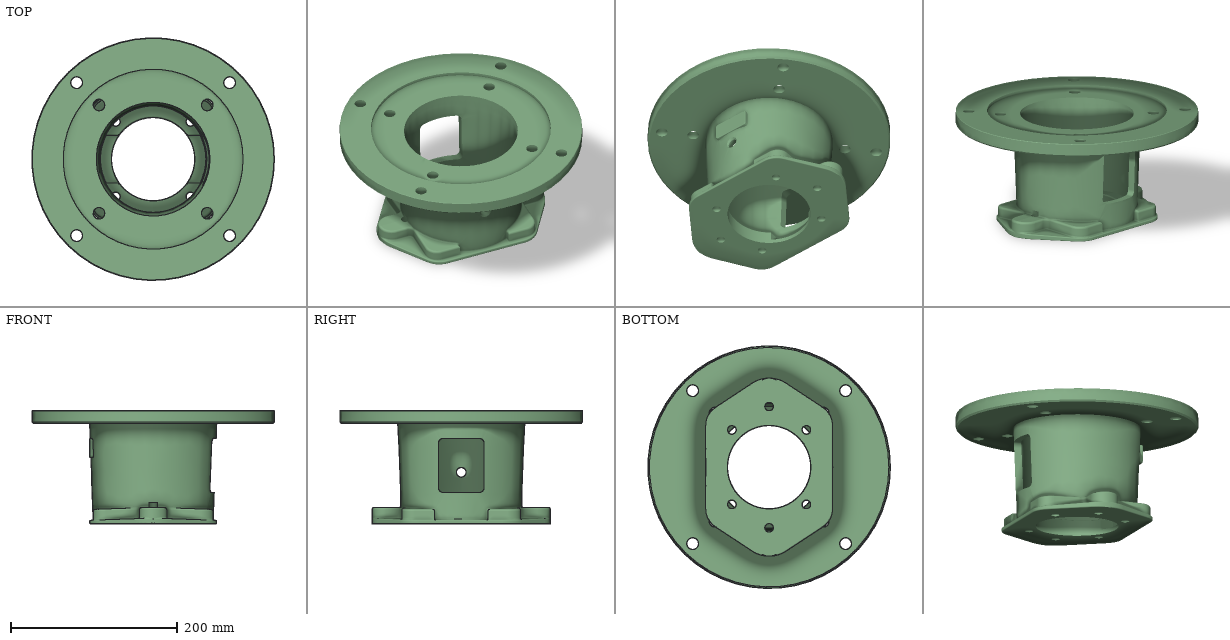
import cadquery as cq
import math

total_height = 136.59
flange_radius = 292.1 / 2
flange_thickness = 16.0
flange_bottom_z = total_height - flange_thickness
flange_bottom_chamfer = 2.0
flange_top_chamfer = 0.6

register_radius = 216.5 / 2
register_depth = 4.0
flange_hole_diameter = 13.8
bolt_circle_radii = (260.35 / 2, 184.15 / 2)

housing_top_radius = 76.6
housing_bottom_radius = 72.2
cavity_top_radius = 68.6
cavity_bottom_radius = 63.2
wall_middle_radius = (housing_bottom_radius + cavity_bottom_radius) / 2

draft_angle = 2.0
plate_half_width = 76.3
plate_half_length = 107.2
plate_ridge_height = 7.0
plate_end_radius = 37.0
plate_corner_radius = 25.8
plate_corner_y = 50.4
plate_edge_fillet = 1.2

pad_ridge_height = 20.0
pad_half_width = 72.0
pad_inner_y = 32.0
pad_outer_y = 71.2
pad_corner_radius = 15.2
lobe_radius = 16.4
lobe_inner_radius = 5.6
pad_top_fillet = 2.5
root_fillet = 1.5

ledge_inner_y = 28.6
ledge_edge_fillet = 1.4

pilot_radius = 50.0
tapped_hole_diameter = 10.2
four_bolt_circle_radius = 127.0 / 2
two_bolt_circle_radius = 146.0 / 2
two_bolt_hole_depth = 26.0

window_bottom_z = 37.8
window_top_z = 103.0
window_half_width = 27.5
window_corner_radius = 6.0

name_plate_face_x = -76.4
name_plate_width = 44.8
name_plate_bottom_z = 79.8
name_plate_top_z = 102.5
name_plate_corner_radius = 3.0
name_plate_edge_fillet = 0.8
port_z = 62.1
port_diameter = 11.4
port_mouth_diameter = 15.3

contact_tolerance = 1e-3


def polar(radius, degrees):
    angle = math.radians(degrees)
    return radius * math.cos(angle), radius * math.sin(angle)


def mirrored(point):
    return -point[0], point[1]


def both_ends(body):
    return body.union(body.mirror("XZ"))


def cone(bottom_radius, bottom_z, top_radius, top_z):
    return cq.Workplane(cq.Solid.makeCone(
        bottom_radius, top_radius, top_z - bottom_z, cq.Vector(0, 0, bottom_z)))


def roof(ridge_height):
    """Gable prism along Y whose two slopes fall at the draft angle."""
    half_width = 2 * plate_half_width
    half_length = 2 * plate_half_length
    eave_height = ridge_height - half_width * math.tan(math.radians(draft_angle))
    base_z = eave_height - ridge_height
    points = [(-half_width, base_z), (half_width, base_z), (half_width, eave_height),
              (0, ridge_height), (-half_width, eave_height)]
    return cq.Workplane("XZ").polyline(points).close().extrude(half_length, both=True)


def disc(radius, x, y):
    return cq.Workplane("XY").center(x, y).circle(radius).extrude(pad_ridge_height)


def round_sloped_faces(body, radius):
    """Round the outer edges of the upward sloping faces, leaving the ridge sharp."""
    slopes = [face for face in body.faces().vals() if face.normalAt().z > 0]
    edges = [edge for face in slopes for edge in face.Edges()
             if abs(edge.Center().x) > contact_tolerance or edge.geomType() != "LINE"]
    return body.newObject(edges).fillet(radius)


def foot_plate():
    """Six-sided plate: straight sides, rounded corners and rounded ends."""
    corner_x = plate_half_width - plate_corner_radius
    end_y = plate_half_length - plate_end_radius
    run = corner_x
    rise = end_y - plate_corner_y
    distance = math.hypot(run, rise)
    normal = 90 - math.degrees(
        math.atan2(rise, run) + math.asin((plate_end_radius - plate_corner_radius) / distance))

    def on_corner(angle):
        dx, dy = polar(plate_corner_radius, angle)
        return corner_x + dx, plate_corner_y + dy

    def on_end(angle):
        dx, dy = polar(plate_end_radius, angle)
        return dx, end_y + dy

    corner_start = on_corner(0)
    corner_middle = on_corner(normal / 2)
    corner_end = on_corner(normal)
    half = (
        cq.Workplane("XY")
        .moveTo(plate_half_width, 0)
        .lineTo(*corner_start)
        .threePointArc(corner_middle, corner_end)
        .lineTo(*on_end(normal))
        .threePointArc(on_end(90), on_end(180 - normal))
        .lineTo(*mirrored(corner_end))
        .threePointArc(mirrored(corner_middle), mirrored(corner_start))
        .lineTo(-plate_half_width, 0)
        .close()
        .extrude(plate_ridge_height)
    )
    plate = both_ends(half).clean().intersect(roof(plate_ridge_height))
    plate = round_sloped_faces(plate, plate_edge_fillet)
    return plate.faces("<Z").edges().fillet(plate_edge_fillet)


def foot_pad():
    """Raised pad at the +Y end, with a central rounded lobe."""
    lobe_y = plate_half_length - lobe_radius
    block = (
        cq.Workplane("XY")
        .center(0, (pad_inner_y + pad_outer_y) / 2)
        .rect(2 * pad_half_width, pad_outer_y - pad_inner_y)
        .extrude(pad_ridge_height)
        .edges("|Z and >Y")
        .fillet(pad_corner_radius)
    )
    neck = (
        cq.Workplane("XY")
        .center(0, (pad_inner_y + lobe_y) / 2)
        .rect(2 * lobe_radius, lobe_y - pad_inner_y)
        .extrude(pad_ridge_height)
    )
    outline = block.union(neck).union(disc(lobe_radius, 0, lobe_y)).clean()
    margin = 1.0
    inside_corners = cq.selectors.BoxSelector(
        (-lobe_radius - margin, pad_outer_y - margin, 0),
        (lobe_radius + margin, pad_outer_y + margin, pad_ridge_height))
    outline = outline.edges("|Z").edges(inside_corners).fillet(lobe_inner_radius)
    pad = outline.intersect(roof(pad_ridge_height))
    return round_sloped_faces(pad, pad_top_fillet)


def ledge():
    """Inside continuation of the +Y pad, reaching to mid-thickness of the housing wall."""
    slab = (
        cq.Workplane("XY")
        .center(0, ledge_inner_y + wall_middle_radius / 2)
        .rect(2 * wall_middle_radius, wall_middle_radius)
        .extrude(pad_ridge_height)
    )
    body = slab.intersect(disc(wall_middle_radius, 0, 0)).cut(disc(pilot_radius, 0, 0))
    return round_sloped_faces(body.intersect(roof(pad_ridge_height)), ledge_edge_fillet)


def shared_edges(body, first, second):
    """Edges of the fused body that lie on the surfaces of both of its parents."""
    edges = []
    for edge in body.edges().vals():
        middle = edge.positionAt(0.5)
        point = cq.Vertex.makeVertex(*middle.toTuple())
        gap = max(point.distance(first.val()), point.distance(second.val()))
        if gap < contact_tolerance and middle.z > plate_edge_fillet:
            edges.append(edge)
    return edges


def cast_body():
    """Foot plate, pads and solid housing cone with rounded roots between them."""
    plate = foot_plate()
    pads = both_ends(foot_pad())
    plate_and_pads = plate.union(pads)
    housing = cone(housing_bottom_radius, 0, housing_top_radius, flange_bottom_z)
    body = plate_and_pads.union(housing)
    lobe_end_y = plate_half_length - lobe_radius
    roots = [edge for edge in shared_edges(body, plate, pads)
             if abs(edge.Center().y) < lobe_end_y]
    roots += shared_edges(body, plate_and_pads, housing)
    return body.newObject(roots).fillet(root_fillet)


def cavity():
    """Tapered hollow of the housing, floored by the foot plate."""
    hollow = cone(cavity_bottom_radius, 0, cavity_top_radius, total_height)
    return hollow.cut(foot_plate())


def flange():
    """Top flange with chamfered rims and a shallow register."""
    disc_body = (
        cq.Workplane("XY", origin=(0, 0, flange_bottom_z))
        .circle(flange_radius)
        .extrude(flange_thickness)
    )
    disc_body = disc_body.faces("<Z").edges().chamfer(flange_bottom_chamfer)
    disc_body = disc_body.faces(">Z").edges().chamfer(flange_top_chamfer)
    register = (
        cq.Workplane("XY", origin=(0, 0, total_height - register_depth))
        .circle(register_radius)
        .extrude(register_depth)
    )
    return disc_body.cut(register)


def bolt_circle(radius, start_angle, count, diameter, bottom_z, depth):
    return (
        cq.Workplane("XY", origin=(0, 0, bottom_z))
        .polarArray(radius, start_angle, 360, count)
        .circle(diameter / 2)
        .extrude(depth)
    )


def flange_holes():
    outer, inner = [
        bolt_circle(radius, 45, 4, flange_hole_diameter, flange_bottom_z, flange_thickness)
        for radius in bolt_circle_radii]
    return outer.union(inner)


def foot_holes():
    """Pilot bore, four through holes and two blind holes below the lobes."""
    pilot = cq.Workplane("XY").circle(pilot_radius).extrude(pad_ridge_height)
    four_bolt = bolt_circle(four_bolt_circle_radius, 45, 4, tapped_hole_diameter, 0, pad_ridge_height)
    two_bolt = bolt_circle(two_bolt_circle_radius, 90, 2, tapped_hole_diameter, 0, two_bolt_hole_depth)
    return pilot.union(four_bolt).union(two_bolt)


def window():
    return (
        cq.Workplane("YZ")
        .center(0, (window_bottom_z + window_top_z) / 2)
        .rect(2 * window_half_width, window_top_z - window_bottom_z)
        .extrude(flange_radius)
        .edges("|X")
        .fillet(window_corner_radius)
    )


def name_plate():
    """Flat-faced boss reaching inward to the middle of the housing wall."""
    depth = -name_plate_face_x - wall_middle_radius
    plate = (
        cq.Workplane("YZ", origin=(name_plate_face_x, 0, 0))
        .center(0, (name_plate_bottom_z + name_plate_top_z) / 2)
        .rect(name_plate_width, name_plate_top_z - name_plate_bottom_z)
        .extrude(depth)
        .edges("|X")
        .fillet(name_plate_corner_radius)
    )
    return plate.faces("<X").edges().fillet(name_plate_edge_fillet)


def port():
    """Radial hole in the -X wall with a 90 degree mouth chamfer."""
    wall_radius = housing_bottom_radius + (
        housing_top_radius - housing_bottom_radius) * port_z / flange_bottom_z
    cone_tip_x = port_mouth_diameter / 2 - wall_radius
    outward = cq.Vector(-1, 0, 0)
    hole = cq.Solid.makeCylinder(port_diameter / 2, flange_radius, cq.Vector(0, 0, port_z), outward)
    mouth = cq.Solid.makeCone(
        0, port_mouth_diameter, port_mouth_diameter, cq.Vector(cone_tip_x, 0, port_z), outward)
    return cq.Workplane(hole).union(cq.Workplane(mouth))


result = (
    cast_body()
    .union(name_plate())
    .union(flange())
    .cut(cavity())
    .union(both_ends(ledge()))
    .cut(foot_holes())
    .cut(flange_holes())
    .cut(window())
    .cut(port())
)